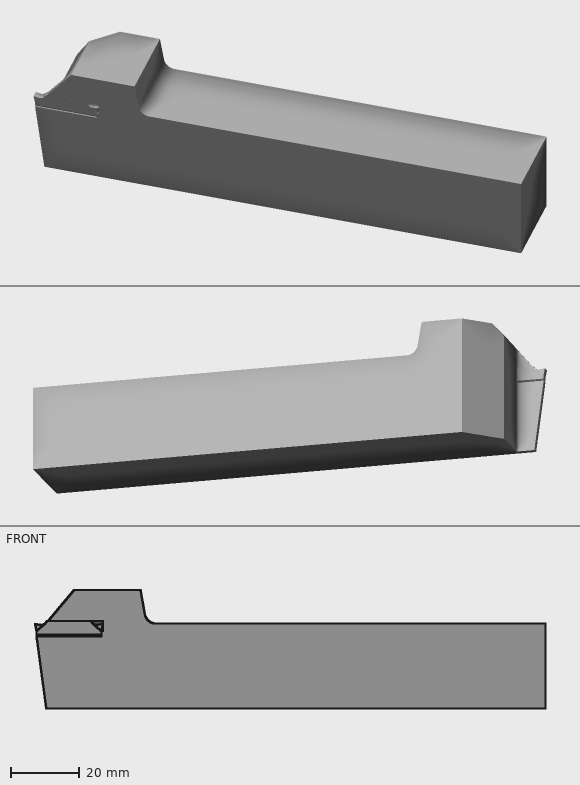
import cadquery as cq
import math

length = 150.0
shank_width = 25.0
shank_height = 25.0
head_height = 35.0
foot_x = 3.3
brow_x = 11.5
brow_angle = 50.0
head_back_x = 31.0
head_back_angle = 10.0
head_back_radius = 3.3
blade_thickness = 2.0
blade_fillet = 0.8
head_front_x = 8.7
bevel_start_y = 15.0

insert_length = 20.0
seat_z = 21.2
insert_top_z = 25.8
tip_z = 24.9
end_relief = 0.5
body_thickness = blade_thickness
tip_overhang = 0.2
tip_run = 2.8
tip_depth = 2.1
groove_x = 2.0
groove_depth = 0.3
body_rise_x = 3.6
bottom_chamfer = 0.6
blade_nose_x = 0.5
pocket_depth = body_thickness + tip_overhang


def extrude_y(points, y_start, y_end):
    """Extrude an XZ outline from y_start to y_end."""
    plane = cq.Workplane("XZ", origin=(0, y_start, 0))
    return plane.polyline(points).close().extrude(y_start - y_end)


def holder_profile():
    """Side shape of the holder, with the pocket not yet cut."""
    slope_x = brow_x - (head_height - seat_z) / math.tan(math.radians(brow_angle))
    head_step = head_height - shank_height
    head_root_x = head_back_x + head_step * math.tan(math.radians(head_back_angle))
    side = extrude_y(
        [
            (foot_x, 0),
            (length, 0),
            (length, shank_height),
            (head_root_x, shank_height),
            (head_back_x, head_height),
            (brow_x, head_height),
            (slope_x, seat_z),
            (blade_nose_x, seat_z),
        ],
        0,
        shank_width,
    )
    root = cq.selectors.NearestToPointSelector((head_root_x, shank_width / 2, shank_height))
    return side.edges(root).fillet(head_back_radius)


def holder_plan():
    """Plan shape: thin blade, filleted corner, flat head front, corner bevel."""
    bevel_end_x = head_front_x + shank_width - bevel_start_y
    fillet_y = blade_thickness + blade_fillet
    return (
        cq.Workplane("XY")
        .moveTo(0, 0)
        .lineTo(length, 0)
        .lineTo(length, shank_width)
        .lineTo(bevel_end_x, shank_width)
        .lineTo(head_front_x, bevel_start_y)
        .lineTo(head_front_x, fillet_y)
        .radiusArc((head_front_x - blade_fillet, blade_thickness), blade_fillet)
        .lineTo(0, blade_thickness)
        .close()
        .extrude(head_height)
    )


def make_pocket():
    """Pocket fitting the insert's rear end and open toward the front."""
    rear_x = insert_length - end_relief
    points = [
        (0, seat_z),
        (rear_x, seat_z),
        (rear_x, tip_z - tip_depth),
        (insert_length, tip_z - tip_depth),
        (insert_length, insert_top_z),
        (0, insert_top_z),
    ]
    return extrude_y(points, 0, pocket_depth)


def make_holder():
    return holder_profile().intersect(holder_plan()).cut(make_pocket())


def make_tip():
    """Front cutting tip: a wedge wider than the body, with a chip groove on top."""
    points = [
        (0, tip_z),
        (groove_x, tip_z - groove_depth),
        (tip_run, tip_z),
        (end_relief, tip_z - tip_depth),
    ]
    return extrude_y(points, -tip_overhang, body_thickness + tip_overhang)


def make_insert():
    body_front = [
        (end_relief, seat_z),
        (end_relief, tip_z - tip_depth),
        (groove_x, tip_z - groove_depth),
        (tip_run, tip_z),
        (body_rise_x, insert_top_z),
    ]
    body_rear = [(insert_length - x, z) for x, z in reversed(body_front)]
    body = extrude_y(body_front + body_rear, 0, body_thickness)
    body = body.faces("<Z").edges("|X").chamfer(bottom_chamfer)
    front_tip = make_tip()
    rear_tip = front_tip.mirror("YZ").translate((insert_length, 0, 0))
    return body.union(front_tip).union(rear_tip)


holder = make_holder()
insert = make_insert()
result = cq.Compound.makeCompound([holder.solids().val(), insert.solids().val()])